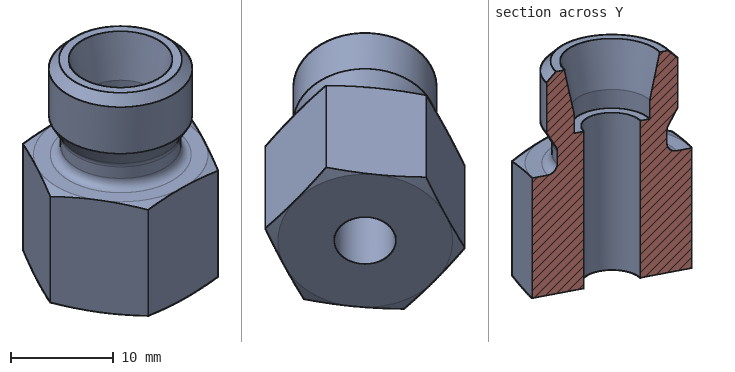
import cadquery as cq
import math

across_flats = 17.0
across_corners = across_flats / math.cos(math.radians(30))
hex_height = 13.0
hex_chamfer_angle = 15

total_height = 24
thread_radius = 14.0 / 2
thread_bottom = 17.6
thread_chamfer = 1.0
neck_radius = 11.7 / 2
runout_angle = 30
neck_fillet = 1.0

mouth_radius = 10.1 / 2
socket_radius = 8.0 / 2
bore_radius = 6 / 2
cone_half_angle = 12
socket_depth = 7.0


def hex_body():
    """Hexagon with flats facing X, its corners chamfered at both ends."""
    prism = cq.Workplane("XY").polygon(6, across_corners).extrude(hex_height)
    prism = prism.rotate((0, 0, 0), (0, 0, 1), 30)
    flat_radius = across_flats / 2
    corner_radius = across_corners / 2
    drop = (corner_radius - flat_radius) * math.tan(math.radians(hex_chamfer_angle))
    envelope = (
        cq.Workplane("XZ")
        .moveTo(0, 0)
        .lineTo(flat_radius, 0)
        .lineTo(corner_radius, drop)
        .lineTo(corner_radius, hex_height - drop)
        .lineTo(flat_radius, hex_height)
        .lineTo(0, hex_height)
        .close()
        .revolve(360, (0, 0), (0, 1))
    )
    return prism.intersect(envelope)


def spigot():
    """Threaded end with a filleted undercut, seated on top of the hexagon."""
    runout_height = (thread_radius - neck_radius) / math.tan(math.radians(runout_angle))
    runout_bottom = thread_bottom - runout_height

    turn = math.radians(runout_angle)
    tangent_length = neck_fillet * math.tan(turn / 2)
    arc_bottom = runout_bottom - tangent_length
    arc_center = neck_radius + neck_fillet

    def upper_fillet_point(angle):
        return (arc_center - neck_fillet * math.cos(angle), arc_bottom + neck_fillet * math.sin(angle))

    lower_arc_middle = (
        arc_center - neck_fillet * math.cos(math.radians(45)),
        hex_height + neck_fillet - neck_fillet * math.sin(math.radians(45)),
    )
    return (
        cq.Workplane("XZ")
        .moveTo(0, hex_height)
        .lineTo(arc_center, hex_height)
        .threePointArc(lower_arc_middle, (neck_radius, hex_height + neck_fillet))
        .lineTo(neck_radius, arc_bottom)
        .threePointArc(upper_fillet_point(turn / 2), upper_fillet_point(turn))
        .lineTo(thread_radius, thread_bottom)
        .lineTo(thread_radius, total_height - thread_chamfer)
        .lineTo(thread_radius - thread_chamfer, total_height)
        .lineTo(0, total_height)
        .close()
        .revolve(360, (0, 0), (0, 1))
    )


def bore():
    """Through bore, tube socket and conical mouth as one turned cutter."""
    cone_depth = (mouth_radius - socket_radius) / math.tan(math.radians(cone_half_angle))
    socket_floor = total_height - socket_depth
    return (
        cq.Workplane("XZ")
        .moveTo(0, 0)
        .lineTo(bore_radius, 0)
        .lineTo(bore_radius, socket_floor)
        .lineTo(socket_radius, socket_floor)
        .lineTo(socket_radius, total_height - cone_depth)
        .lineTo(mouth_radius, total_height)
        .lineTo(0, total_height)
        .close()
        .revolve(360, (0, 0), (0, 1))
    )


result = hex_body().union(spigot()).cut(bore())